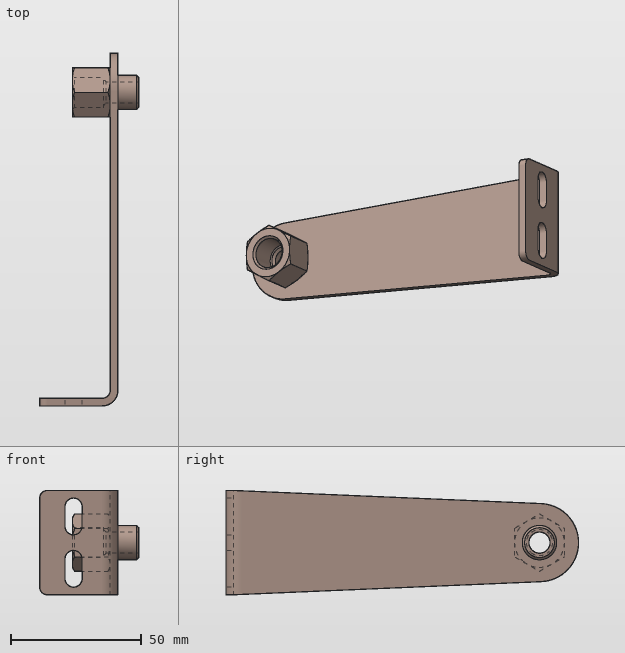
import cadquery as cq
import math

SHEET = 3.0
FLANGE_WIDTH = 30.0
BRACKET_LENGTH = 135.0
FLANGE_HEIGHT = 40.0
INNER_BEND_RADIUS = 3.0
OUTER_BEND_RADIUS = INNER_BEND_RADIUS + SHEET
FLANGE_CORNER_RADIUS = 3.0
ARM_END_RADIUS = 15.0

SLOT_LENGTH = 14.0
SLOT_WIDTH = 6.5
SLOT_X = 13.0
SLOT_SPACING = 20.0

HEX_SIDES = 6
HEX_ACROSS_FLATS = 19.0
HEX_LENGTH = 14.5
HEX_CHAMFER_ANGLE = 30.0
SPIGOT_DIAMETER = 13.2
SPIGOT_LENGTH = 8.0
SPIGOT_CHAMFER = 0.9
THROUGH_BORE = 8.0
SOCKET_DIAMETER = 11.445
SOCKET_MOUTH_DIAMETER = 13.157
SOCKET_DEPTH = 12.0
BORE_CHAMFER = 1.0

ARM_INNER_X = FLANGE_WIDTH - SHEET
FITTING_Y = BRACKET_LENGTH - ARM_END_RADIUS
HEX_FACE_X = ARM_INNER_X - HEX_LENGTH
SPIGOT_END_X = FLANGE_WIDTH + SPIGOT_LENGTH


def bent_sheet():
    """L-section with a rounded bend, extruded over the full flange height."""
    profile = (
        cq.Workplane("XY")
        .polyline([
            (0, 0),
            (FLANGE_WIDTH, 0),
            (FLANGE_WIDTH, BRACKET_LENGTH),
            (ARM_INNER_X, BRACKET_LENGTH),
            (ARM_INNER_X, SHEET),
            (0, SHEET),
        ])
        .close()
        .extrude(FLANGE_HEIGHT / 2, both=True)
    )
    outer_corner = cq.selectors.NearestToPointSelector((FLANGE_WIDTH, 0, 0))
    inner_corner = cq.selectors.NearestToPointSelector((ARM_INNER_X, SHEET, 0))
    bent = profile.edges("|Z").edges(outer_corner).fillet(OUTER_BEND_RADIUS)
    return bent.edges("|Z").edges(inner_corner).fillet(INNER_BEND_RADIUS)


def arm_outline():
    """Side outline: full height at the flange, tapering tangentially into the round end."""
    half_height = FLANGE_HEIGHT / 2
    taper_run = FITTING_Y - SHEET
    centre_distance = math.hypot(taper_run, half_height)
    tangent_angle = (
        math.atan2(half_height, -taper_run) - math.acos(ARM_END_RADIUS / centre_distance)
    )
    tangent_y = FITTING_Y + ARM_END_RADIUS * math.cos(tangent_angle)
    tangent_z = ARM_END_RADIUS * math.sin(tangent_angle)
    return (
        cq.Workplane("YZ")
        .moveTo(0, -half_height)
        .lineTo(SHEET, -half_height)
        .lineTo(tangent_y, -tangent_z)
        .threePointArc((BRACKET_LENGTH, 0), (tangent_y, tangent_z))
        .lineTo(SHEET, half_height)
        .lineTo(0, half_height)
        .close()
        .extrude(FLANGE_WIDTH)
    )


def flange_slots():
    """Two upright slots, one above the other, running through the flange."""
    return (
        cq.Workplane("XZ", origin=(SLOT_X, 0, 0))
        .pushPoints([(0, -SLOT_SPACING / 2), (0, SLOT_SPACING / 2)])
        .slot2D(SLOT_LENGTH, SLOT_WIDTH, 90)
        .extrude(-SHEET)
    )


def bracket():
    body = bent_sheet().intersect(arm_outline())
    body = body.edges("|Y and <X").fillet(FLANGE_CORNER_RADIUS)
    return body.cut(flange_slots())


def revolved_about_fitting_axis(points):
    """Solid of revolution from (x, radius) points about the fitting axis."""
    return (
        cq.Workplane("XY", origin=(0, FITTING_Y, 0))
        .polyline(points)
        .close()
        .revolve(360, (0, 0, 0), (1, 0, 0))
    )


def hexagon():
    """Hexagon with corners on +Z and -Z, its corners turned off at both ends."""
    flat_radius = HEX_ACROSS_FLATS / 2
    corner_radius = flat_radius / math.cos(math.pi / HEX_SIDES)
    chamfer_run = (corner_radius - flat_radius) * math.tan(math.radians(HEX_CHAMFER_ANGLE))
    prism = (
        cq.Workplane("YZ", origin=(HEX_FACE_X, FITTING_Y, 0))
        .transformed(rotate=(0, 0, 90))
        .polygon(HEX_SIDES, 2 * corner_radius)
        .extrude(HEX_LENGTH)
    )
    turned_envelope = revolved_about_fitting_axis([
        (HEX_FACE_X, 0),
        (HEX_FACE_X, flat_radius),
        (HEX_FACE_X + chamfer_run, corner_radius),
        (ARM_INNER_X - chamfer_run, corner_radius),
        (ARM_INNER_X, flat_radius),
        (ARM_INNER_X, 0),
    ])
    return prism.intersect(turned_envelope)


def spigot():
    """Round shank passing through the arm, chamfered at its free end."""
    radius = SPIGOT_DIAMETER / 2
    return revolved_about_fitting_axis([
        (ARM_INNER_X, 0),
        (ARM_INNER_X, radius),
        (SPIGOT_END_X - SPIGOT_CHAMFER, radius),
        (SPIGOT_END_X, radius - SPIGOT_CHAMFER),
        (SPIGOT_END_X, 0),
    ])


def fitting_bore():
    """Countersunk flat-bottomed socket in the hexagon, then the through bore with a chamfered edge."""
    mouth_radius = SOCKET_MOUTH_DIAMETER / 2
    socket_radius = SOCKET_DIAMETER / 2
    bore_radius = THROUGH_BORE / 2
    socket_end_x = HEX_FACE_X + SOCKET_DEPTH
    return revolved_about_fitting_axis([
        (HEX_FACE_X, 0),
        (HEX_FACE_X, mouth_radius),
        (HEX_FACE_X + mouth_radius - socket_radius, socket_radius),
        (socket_end_x, socket_radius),
        (socket_end_x, bore_radius + BORE_CHAMFER),
        (socket_end_x + BORE_CHAMFER, bore_radius),
        (SPIGOT_END_X, bore_radius),
        (SPIGOT_END_X, 0),
    ])


result = bracket().union(hexagon()).union(spigot()).cut(fitting_bore())